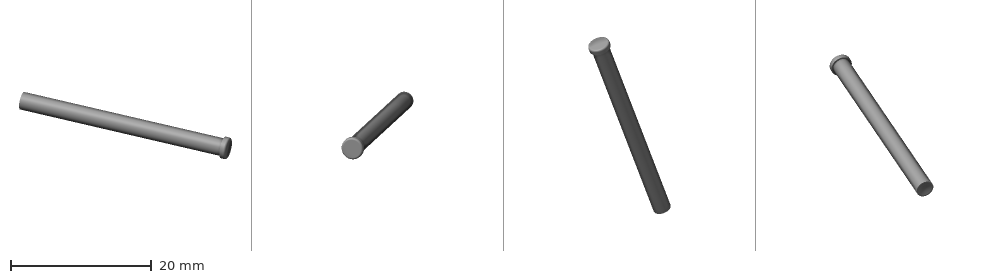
import cadquery as cq
import math

total_length = 31.25
shank_diameter = 2.55
head_diameter = 3.15
head_thickness = 0.85
head_edge_radius = 0.28
dish_diameter = 2.2
dish_depth = 0.25

tip_x = -total_length / 2
end_x = total_length / 2
head_x = end_x - head_thickness
shank_radius = shank_diameter / 2
head_radius = head_diameter / 2
dish_radius = dish_diameter / 2
dish_sphere_radius = (dish_radius**2 + dish_depth**2) / (2 * dish_depth)

dish_mid_angle = math.asin(dish_radius / dish_sphere_radius) / 2
dish_mid_x = tip_x + dish_depth - dish_sphere_radius * (1 - math.cos(dish_mid_angle))
dish_mid_radius = dish_sphere_radius * math.sin(dish_mid_angle)

profile = (
    cq.Workplane("XY")
    .moveTo(tip_x + dish_depth, 0)
    .threePointArc((dish_mid_x, dish_mid_radius), (tip_x, dish_radius))
    .lineTo(tip_x, shank_radius)
    .lineTo(head_x, shank_radius)
    .lineTo(head_x, head_radius)
    .lineTo(end_x - head_edge_radius, head_radius)
    .radiusArc((end_x, head_radius - head_edge_radius), head_edge_radius)
    .lineTo(end_x, 0)
    .close()
)

result = profile.revolve(360, (0, 0, 0), (1, 0, 0))